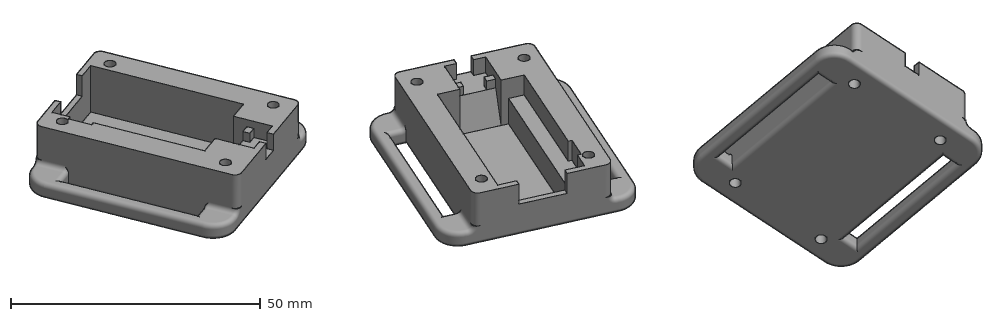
import cadquery as cq
LENGTH = 45.0
FLANGE_WIDTH = 42.9
HEIGHT = 12.55

BODY_WIDTH = 30.0
FLANGE_THICKNESS = 3.5
FLANGE_CORNER_RADIUS = 5.0
BODY_CORNER_RADIUS = 1.5
EDGE_RADIUS = 1.0
BOTTOM_RADIUS = 0.9
ROOT_RADIUS = 1.0

SLOT_LENGTH = 29.95
STRAP_BAR_WIDTH = 2.95

HOLE_DIAMETER = 2.4
HOLE_SPACING_X = 36.0
HOLE_SPACING_Y = 23.05

POCKET_X_MIN = -21.25
POCKET_X_MAX = 12.45
POCKET_Y_MIN = -9.4
POCKET_Y_MAX = 9.25
POCKET_FLOOR = 1.4
LEDGE_Y_MAX = -6.05

NOTCH_X_MIN = -17.3
NOTCH_X_MAX = -12.15
NOTCH_DEPTH_Y = 0.8

WINDOW_WIDTH = 10.35
WINDOW_FLOOR = 7.65
LEDGE_TOP = WINDOW_FLOOR

BAY_WIDTH = 8.85
BAY_FLOOR = 8.7
BAY_X_MAX = 21.05
RAMP_X_MAX = 15.45
CABLE_SLOT_WIDTH = 3.65

BLOCK_LENGTH = 1.55
BLOCK_WIDTH = 1.95
BLOCK_TOP = 10.85

BODY_Y = BODY_WIDTH / 2
SLOT_Y_MAX = FLANGE_WIDTH / 2 - STRAP_BAR_WIDTH
SLOT_CUT_Y_MIN = BODY_Y - 2 * EDGE_RADIUS
TOLERANCE = 0.005


def block(x_min, x_max, y_min, y_max, z_min, z_max=HEIGHT):
    """Axis-aligned block given by its limits."""
    size = (x_max - x_min, y_max - y_min, z_max - z_min)
    return cq.Workplane("XY").box(*size, centered=False).translate((x_min, y_min, z_min))


def fillet_edges(part, radius, wanted):
    """Round the edges whose centre passes the given test."""
    edges = [edge for edge in part.edges().vals() if wanted(edge.Center())]
    return part.newObject(edges).fillet(radius)


def same(a, b):
    return abs(a - b) < TOLERANCE


def on_flange_root(point):
    """Inside corners between the flange and the body walls."""
    return same(point.z, FLANGE_THICKNESS) and same(abs(point.y), BODY_Y)


def on_outer_rim(point):
    """Straight flange edges along +Y and -Y; the rest of the top outline runs on smoothly from them."""
    return same(point.z, FLANGE_THICKNESS) and same(abs(point.y), FLANGE_WIDTH / 2)


def on_slot_rim(point):
    """Top outline of the strap slots, followed up the root fillets beside them."""
    beside_slot = same(abs(point.x), SLOT_LENGTH / 2) and abs(point.y) > BODY_Y - TOLERANCE
    on_bar = same(point.x, 0) and same(abs(point.y), SLOT_Y_MAX)
    return (beside_slot or on_bar) and point.z > FLANGE_THICKNESS - TOLERANCE


def make_blank():
    """Solid body on its flange, blended together, with the outer edges rounded."""
    body = block(-LENGTH / 2, LENGTH / 2, -BODY_Y, BODY_Y, 0)
    blank = (
        cq.Workplane("XY")
        .box(LENGTH, FLANGE_WIDTH, FLANGE_THICKNESS, centered=(True, True, False))
        .edges("|Z")
        .fillet(FLANGE_CORNER_RADIUS)
        .union(body)
    )
    blank = fillet_edges(blank, ROOT_RADIUS, on_flange_root)
    return fillet_edges(blank, EDGE_RADIUS, on_outer_rim)


def round_body_corners(part):
    """Give the body corners their larger radius above the root fillets."""
    upper_body = block(-LENGTH / 2, LENGTH / 2, -BODY_Y, BODY_Y, FLANGE_THICKNESS + ROOT_RADIUS)
    return part.cut(upper_body.cut(upper_body.edges("|Z").fillet(BODY_CORNER_RADIUS)))


def cut_strap_slots(part):
    """Cut the slots into the body, round their top rims, then restore the body walls."""
    half_length = SLOT_LENGTH / 2
    for side in (-1, 1):
        y_limits = sorted((side * SLOT_CUT_Y_MIN, side * SLOT_Y_MAX))
        part = part.cut(block(-half_length, half_length, *y_limits, 0))
    part = fillet_edges(part, EDGE_RADIUS, on_slot_rim)
    fill_x = half_length + 2 * EDGE_RADIUS
    return part.union(block(-fill_x, fill_x, -BODY_Y, BODY_Y, 0))


def round_bottom_edges(part):
    """Round the underside along the outline and around both slots."""
    return part.faces("<Z").edges().fillet(BOTTOM_RADIUS)


def cut_screw_holes(part):
    return (
        part.faces(">Z").workplane(origin=(0, 0, HEIGHT))
        .rect(HOLE_SPACING_X, HOLE_SPACING_Y, forConstruction=True)
        .vertices()
        .hole(HOLE_DIAMETER)
    )


def make_pocket():
    pocket = block(POCKET_X_MIN, POCKET_X_MAX, LEDGE_Y_MAX, POCKET_Y_MAX, POCKET_FLOOR)
    above_ledge = block(POCKET_X_MIN, POCKET_X_MAX, POCKET_Y_MIN, LEDGE_Y_MAX, LEDGE_TOP)
    notch = block(NOTCH_X_MIN, NOTCH_X_MAX, POCKET_Y_MIN - NOTCH_DEPTH_Y, POCKET_Y_MIN, LEDGE_TOP)
    window = block(-LENGTH / 2, POCKET_X_MIN, -WINDOW_WIDTH / 2, WINDOW_WIDTH / 2, WINDOW_FLOOR)
    return pocket.union(above_ledge).union(notch).union(window)


def make_connector_bay():
    bay = (
        cq.Workplane("XZ")
        .moveTo(POCKET_X_MAX, HEIGHT)
        .lineTo(POCKET_X_MAX, POCKET_FLOOR)
        .lineTo(RAMP_X_MAX, BAY_FLOOR)
        .lineTo(BAY_X_MAX, BAY_FLOOR)
        .lineTo(BAY_X_MAX, HEIGHT)
        .close()
        .extrude(BAY_WIDTH / 2, both=True)
    )
    for y_limits in (
        (-BAY_WIDTH / 2, -BAY_WIDTH / 2 + BLOCK_WIDTH),
        (BAY_WIDTH / 2 - BLOCK_WIDTH, BAY_WIDTH / 2),
    ):
        bay = bay.cut(block(RAMP_X_MAX, RAMP_X_MAX + BLOCK_LENGTH, *y_limits, BAY_FLOOR, BLOCK_TOP))
    cable_slot = block(BAY_X_MAX, LENGTH / 2, -CABLE_SLOT_WIDTH / 2, CABLE_SLOT_WIDTH / 2, BAY_FLOOR)
    return bay.union(cable_slot)


part = round_body_corners(make_blank())
part = cut_strap_slots(part)
part = round_bottom_edges(part)
part = cut_screw_holes(part)
result = part.cut(make_pocket()).cut(make_connector_bay())